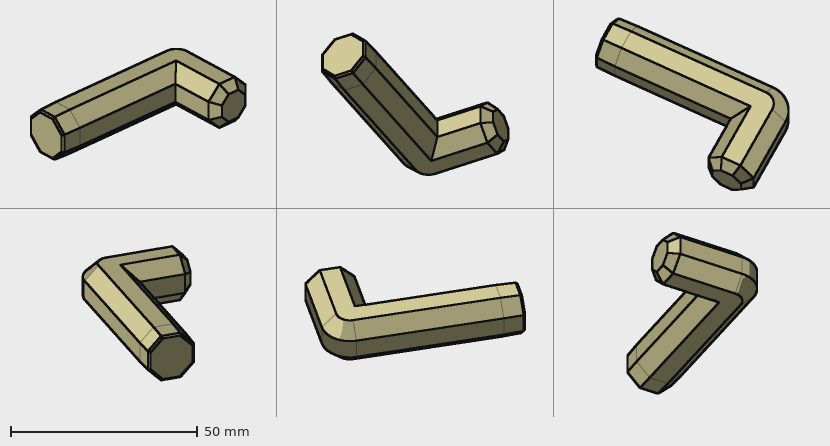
import cadquery as cq
import math

long_length = 54.5
short_length = 29.25
across_flats = 13.6
bend_radius = 7.75

short_tip_length = 2.55
short_tip_flats = 8.55

long_taper_length = 5.5
long_taper_flats = 13.25
long_chamfer_length = 0.55
long_end_flats = long_taper_flats - 2 * long_chamfer_length

half_flats = across_flats / 2
short_axis_y = long_length - half_flats
bend_center_x = bend_radius
bend_center_y = long_length - bend_radius


def octagon(plane, flats):
    """Closed octagon wire with flats parallel to the plane's axes."""
    across_corners = flats / math.cos(math.pi / 8)
    points = []
    for i in range(8):
        angle = math.pi / 8 + i * math.pi / 4
        points.append((across_corners / 2 * math.cos(angle), across_corners / 2 * math.sin(angle)))
    return cq.Workplane(plane).polyline(points).close().val()


def long_section(y, flats):
    return octagon(cq.Plane((half_flats, y, 0), (1, 0, 0), (0, -1, 0)), flats)


def short_section(x, flats):
    return octagon(cq.Plane((x, short_axis_y, 0), (0, 1, 0), (1, 0, 0)), flats)


def join(sections):
    """Solid running straight from one section to the next."""
    body = cq.Workplane()
    for start, end in zip(sections, sections[1:]):
        body = body.add(cq.Solid.makeLoft([start, end], True))
    return body.combine()


def make_long_arm():
    chamfer_y = long_chamfer_length
    taper_y = chamfer_y + long_taper_length
    return join([
        long_section(0, long_end_flats),
        long_section(chamfer_y, long_taper_flats),
        long_section(taper_y, across_flats),
        long_section(bend_center_y, across_flats),
    ])


def make_short_arm():
    return join([
        short_section(bend_center_x, across_flats),
        short_section(short_length - short_tip_length, across_flats),
        short_section(short_length, short_tip_flats),
    ])


def make_bend():
    """Quarter turn of the part of the section outside the bend centre."""
    half_side = half_flats * math.tan(math.pi / 8)
    slope_end_x = half_flats - half_side
    return (
        cq.Workplane("XZ", origin=(0, bend_center_y, 0))
        .moveTo(0, -half_side)
        .lineTo(0, half_side)
        .lineTo(slope_end_x, half_flats)
        .lineTo(bend_center_x, half_flats)
        .lineTo(bend_center_x, -half_flats)
        .lineTo(slope_end_x, -half_flats)
        .close()
        .revolve(90, (bend_center_x, 0.55, 0), (bend_center_x, 0, 0))
    )


result = make_long_arm().union(make_short_arm()).union(make_bend())